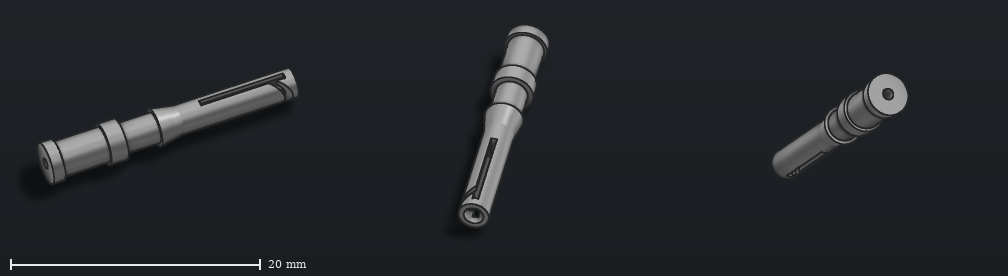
import cadquery as cq

length = 21.5
collar_diameter = 3.5
barrel_diameter = 3.0
neck_diameter = 2.6
sleeve_diameter = 2.5
cone_diameter = 3.2

end_collar_end = 1.0
barrel_end = 5.0
middle_collar_end = 6.5
neck_end = 9.5
cone_end = 11.5

small_bore_diameter = 0.9
small_bore_depth = 4.0
socket_diameter = 1.6
socket_depth = 8.0

slot_width = 0.5
slot_start = 13.44
slot_end = 20.75
branch_y = 19.4
branch_angle = 45.0
branch_length = sleeve_diameter


def cylinder(diameter, start, end):
    """Cylinder on the Y axis between two Y positions."""
    base = cq.Workplane("XZ", origin=(0, start, 0))
    return base.circle(diameter / 2).extrude(start - end)


def turned_body():
    """Solid of revolution with the full stepped outer profile."""
    sections = [
        (collar_diameter, collar_diameter, end_collar_end),
        (barrel_diameter, barrel_diameter, barrel_end),
        (collar_diameter, collar_diameter, middle_collar_end),
        (neck_diameter, neck_diameter, neck_end),
        (cone_diameter, sleeve_diameter, cone_end),
    ]
    profile = cq.Workplane("XY").moveTo(0, 0)
    start = 0
    for start_diameter, end_diameter, end in sections:
        profile = profile.lineTo(start_diameter / 2, start)
        profile = profile.lineTo(end_diameter / 2, end)
        start = end
    profile = profile.lineTo(sleeve_diameter / 2, length).lineTo(0, length).close()
    return profile.revolve(360, (0, 0, 0), (0, 1, 0))


def sleeve_slot():
    """Lengthwise slot with a slanted branch, tall enough to cut right through in Z."""
    height = collar_diameter
    slot = (
        cq.Workplane("XY")
        .box(slot_width, slot_end - slot_start, height)
        .translate((0, (slot_start + slot_end) / 2, 0))
    )
    branch = (
        cq.Workplane("XY")
        .box(branch_length, slot_width, height, centered=(False, True, True))
        .rotate((0, 0, 0), (0, 0, 1), branch_angle)
        .translate((0, branch_y, 0))
    )
    return slot.union(branch)


small_bore = cylinder(small_bore_diameter, 0, small_bore_depth)
socket = cylinder(socket_diameter, length - socket_depth, length)
result = turned_body().cut(small_bore).cut(socket).cut(sleeve_slot())